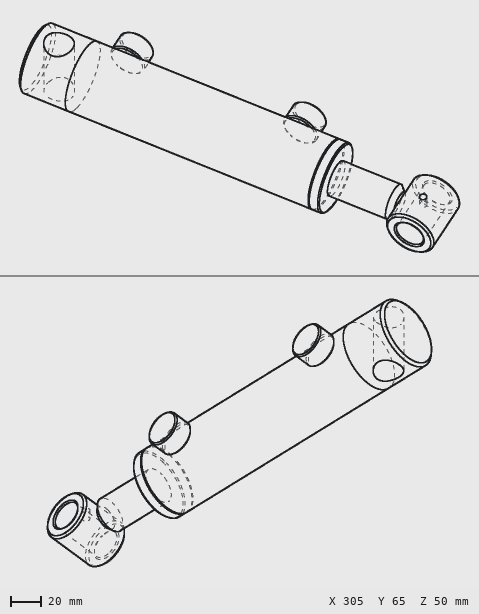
import cadquery as cq

total_length = 305.0
cylinder_diameter = 50.0
cylinder_radius = cylinder_diameter / 2

base_length = 35.0
base_chamfer = 2.0
pin_hole_diameter = 20.0
pin_hole_x = base_length / 2

barrel_end_x = 215.0
gland_end_x = 223.0
seal_thickness = 1.0
gland_chamfer = 1.0

rod_diameter = 25.0
rod_tip_chamfer = 4.0
eye_diameter = 35.0
eye_width = 40.0
eye_bore_diameter = 20.0
eye_outer_chamfer = 1.5
eye_bore_chamfer = 1.0
grease_hole_diameter = 5.0

port_diameter = 25.0
port_height = 15.0
port_chamfer = 1.0
port_positions_x = [55.0, 183.0]

gland_start_x = barrel_end_x + seal_thickness
eye_x = total_length - eye_diameter / 2
rod_end_x = total_length - eye_diameter


def cylinder_along_x(start_x, end_x, diameter):
    """Cylinder on the X axis between two X positions."""
    return cq.Workplane("YZ", origin=(start_x, 0, 0)).circle(diameter / 2).extrude(end_x - start_x)


def make_base():
    """Solid end piece, chamfered at its outer rim and drilled through along Z."""
    body = cylinder_along_x(0, base_length, cylinder_diameter).faces("<X").chamfer(base_chamfer)
    pin_hole = (
        cq.Workplane("XY")
        .center(pin_hole_x, 0)
        .circle(pin_hole_diameter / 2)
        .extrude(cylinder_radius, both=True)
    )
    return body.cut(pin_hole)


def make_barrel():
    """Plain main body between the base and the gland."""
    return cylinder_along_x(base_length, barrel_end_x, cylinder_diameter)


def make_seal_ring():
    """Thin flush disc between the barrel and the gland."""
    return cylinder_along_x(barrel_end_x, gland_start_x, cylinder_diameter)


def make_gland():
    """Disc at the rod end, chamfered at its outer rim."""
    return cylinder_along_x(gland_start_x, gland_end_x, cylinder_diameter).faces(">X").chamfer(gland_chamfer)


def make_rod():
    """Rod from the gland face to the eye, chamfered at its tip."""
    return cylinder_along_x(gland_end_x, rod_end_x, rod_diameter).faces(">X").chamfer(rod_tip_chamfer)


def make_eye():
    """Sleeve across the rod tip, bored along Y, with a grease hole from the top into the bore."""
    sleeve = (
        cq.Workplane("XZ", origin=(eye_x, eye_width / 2, 0))
        .circle(eye_diameter / 2)
        .extrude(eye_width)
        .faces("<Y or >Y")
        .chamfer(eye_outer_chamfer)
    )
    bore = (
        cq.Workplane("XZ", origin=(eye_x, eye_width / 2, 0))
        .circle(eye_bore_diameter / 2)
        .extrude(eye_width)
    )
    bored = sleeve.cut(bore)
    bored = bored.edges(cq.selectors.RadiusNthSelector(0)).chamfer(eye_bore_chamfer)
    grease_hole = (
        cq.Workplane("XY").center(eye_x, 0).circle(grease_hole_diameter / 2).extrude(eye_diameter / 2)
    )
    return bored.cut(grease_hole)


def make_port(x):
    """Port boss touching the barrel's +Y side, chamfered at both ends."""
    return (
        cq.Workplane("XZ", origin=(x, cylinder_radius, 0))
        .circle(port_diameter / 2)
        .extrude(-port_height)
        .faces("<Y or >Y")
        .chamfer(port_chamfer)
    )


base = make_base()
barrel = make_barrel()
seal_ring = make_seal_ring()
gland = make_gland()
rod = make_rod()
eye = make_eye()
ports = [make_port(x) for x in port_positions_x]

result = cq.Compound.makeCompound(
    [
        base.val(),
        barrel.val(),
        seal_ring.val(),
        gland.val(),
        rod.val(),
        eye.val(),
        *[port.val() for port in ports],
    ]
)